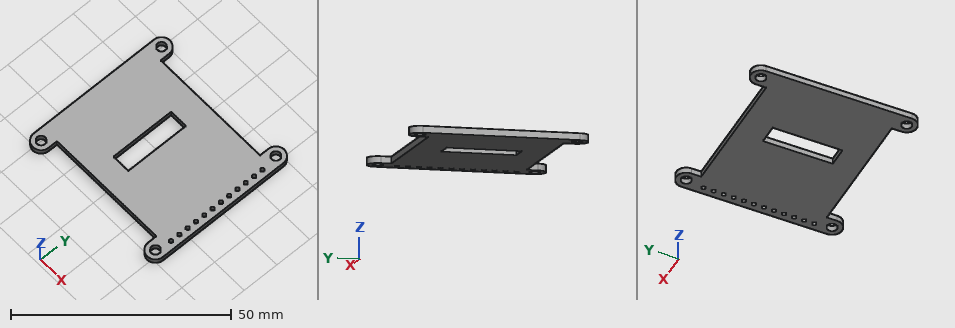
import cadquery as cq

BOARD_LENGTH = 43.81
BOARD_WIDTH = 41.91
THICKNESS = 1.6

EAR_RADIUS = 2.54
EAR_REACH = 2 * EAR_RADIUS
MOUNT_HOLE_DIAMETER = 2.5

WINDOW_LENGTH = 5.0
WINDOW_WIDTH = 17.6
WINDOW_CENTER_X = -2.7
WINDOW_CENTER_Y = -0.25

PIN_COUNT = 12
PIN_PITCH = 2.54
PIN_HOLE_DIAMETER = 1.0
PIN_EDGE_DISTANCE = 1.905
PIN_ROW_CENTER_Y = -0.25

EAR_CENTER_X = BOARD_LENGTH / 2 - EAR_RADIUS
EAR_CENTER_Y = BOARD_WIDTH / 2 - EAR_RADIUS
EAR_CENTERS = [(sx * EAR_CENTER_X, sy * EAR_CENTER_Y) for sx in (-1, 1) for sy in (-1, 1)]


def plate(length, width):
    """Rectangular plate centred on the origin, resting on Z = 0."""
    return cq.Workplane("XY").box(length, width, THICKNESS, centered=(True, True, False))


def make_board():
    """Main plate with a round-ended ear at each corner."""
    board = plate(BOARD_LENGTH, BOARD_WIDTH - 2 * EAR_REACH)
    for side in (-1, 1):
        ear_pair = (
            cq.Workplane("XY")
            .center(side * EAR_CENTER_X, 0)
            .slot2D(BOARD_WIDTH, 2 * EAR_RADIUS, angle=90)
            .extrude(THICKNESS)
        )
        board = board.union(ear_pair)
    return board


def through_holes(centers, diameter):
    """Cylinders that cut round holes through the full thickness."""
    return cq.Workplane("XY").pushPoints(centers).circle(diameter / 2).extrude(THICKNESS)


def pin_centers():
    """Evenly spaced centres of the pin row, parallel to Y."""
    x = BOARD_LENGTH / 2 - PIN_EDGE_DISTANCE
    first_y = PIN_ROW_CENTER_Y - (PIN_COUNT - 1) * PIN_PITCH / 2
    return [(x, first_y + i * PIN_PITCH) for i in range(PIN_COUNT)]


window = plate(WINDOW_LENGTH, WINDOW_WIDTH).translate((WINDOW_CENTER_X, WINDOW_CENTER_Y, 0))

result = (
    make_board()
    .cut(through_holes(EAR_CENTERS, MOUNT_HOLE_DIAMETER))
    .cut(through_holes(pin_centers(), PIN_HOLE_DIAMETER))
    .cut(window)
)